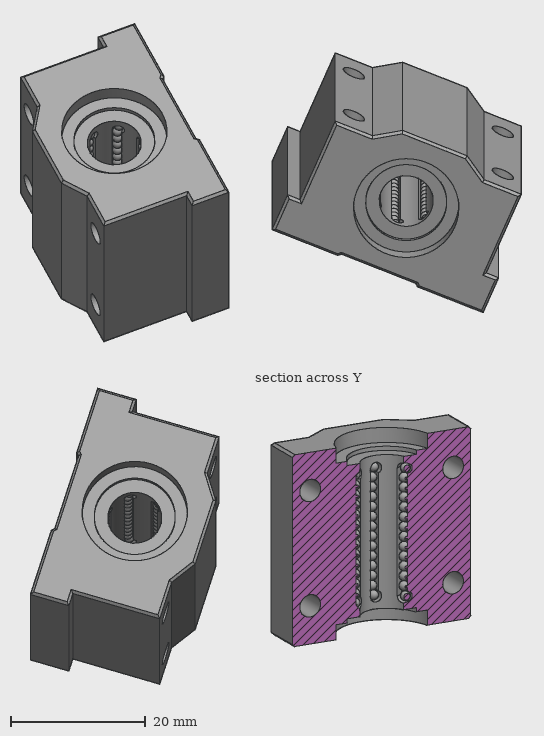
import cadquery as cq

FLANGE_WIDTH = 34.0
BODY_WIDTH = 30.0
DEPTH = 22.0
LENGTH = 30.0
FLANGE_THICKNESS = 6.0
RIDGE_HEIGHT = 2.5
RIDGE_BASE_WIDTH = 18.0
RIDGE_TOP_WIDTH = 10.4
RELIEF_DEPTH = 0.4
RELIEF_WIDTH = 12.0
RELIEF_MOUTH_WIDTH = RELIEF_WIDTH + 2 * RELIEF_DEPTH
END_CHAMFER = 0.4

SCREW_DIAMETER = 3.4
SCREW_PITCH_X = 24.0
SCREW_PITCH_Z = 18.0

SEAT_DIAMETER = 15.64
SEAT_DEPTH = 2.35
RING_RECESS_DIAMETER = 12.03
RING_RECESS_DEPTH = 0.65
SHAFT_DIAMETER = 8.0

TRACK_COUNT = 6
FIRST_TRACK_ANGLE = 30.0
TRACK_WIDTH = 1.4
TRACK_FLOOR_RADIUS = 5.2
END_POCKET_DIAMETER = 1.8
END_POCKET_SHIFT = 0.25
BALL_DIAMETER = 1.5
BALL_CENTRE_RADIUS = SHAFT_DIAMETER / 2 + BALL_DIAMETER / 2
BALL_COUNT = 14
BALL_ROW_LENGTH = 20.0

BACK_Y = DEPTH / 2
FRONT_Y = -DEPTH / 2


def make_block():
    """Flanged block with a front ridge and a shallow back relief, chamfered at both ends."""
    shoulder_y = BACK_Y - FLANGE_THICKNESS
    face_y = FRONT_Y + RIDGE_HEIGHT
    right_half = [
        (RIDGE_TOP_WIDTH / 2, FRONT_Y),
        (RIDGE_BASE_WIDTH / 2, face_y),
        (BODY_WIDTH / 2, face_y),
        (BODY_WIDTH / 2, shoulder_y),
        (FLANGE_WIDTH / 2, shoulder_y),
        (FLANGE_WIDTH / 2, BACK_Y),
        (RELIEF_MOUTH_WIDTH / 2, BACK_Y),
        (RELIEF_WIDTH / 2, BACK_Y - RELIEF_DEPTH),
    ]
    left_half = [(-x, y) for x, y in reversed(right_half)]
    outline = cq.Workplane("XY").workplane(offset=-LENGTH / 2).polyline(right_half + left_half).close()
    return outline.extrude(LENGTH).faces("<Z or >Z").chamfer(END_CHAMFER)


def z_cylinder(diameter, length):
    """Cylinder on the bore axis, centred on the origin."""
    return cq.Workplane("XY").circle(diameter / 2).extrude(length / 2, both=True)


def cut_bore(block):
    """Shaft bore with a stepped recess at each end."""
    seat_span = LENGTH - 2 * SEAT_DEPTH
    ring_span = seat_span - 2 * RING_RECESS_DEPTH
    seat = z_cylinder(SEAT_DIAMETER, LENGTH).cut(z_cylinder(SEAT_DIAMETER, seat_span))
    ring = z_cylinder(RING_RECESS_DIAMETER, LENGTH).cut(z_cylinder(RING_RECESS_DIAMETER, ring_span))
    return block.cut(z_cylinder(SHAFT_DIAMETER, LENGTH)).cut(seat).cut(ring)


def cut_screw_holes(block):
    """Four through holes along Y."""
    holes = (
        cq.Workplane("XZ")
        .rarray(SCREW_PITCH_X, SCREW_PITCH_Z, 2, 2)
        .circle(SCREW_DIAMETER / 2)
        .extrude(DEPTH / 2, both=True)
    )
    return block.cut(holes)


def make_track_space():
    """Empty space of one ball track along +X: a slot with a round pocket at each end, less its balls.

    The end pockets and end balls sit slightly clockwise of the slot, where the track starts to turn.
    """
    slot = cq.Workplane("XY").box(
        TRACK_FLOOR_RADIUS, TRACK_WIDTH, BALL_ROW_LENGTH, centered=(False, True, True)
    )
    pockets = (
        cq.Workplane("YZ", origin=(0, -END_POCKET_SHIFT, 0))
        .rarray(1, BALL_ROW_LENGTH, 1, 2)
        .circle(END_POCKET_DIAMETER / 2)
        .extrude(TRACK_FLOOR_RADIUS)
    )
    ball_pitch = BALL_ROW_LENGTH / (BALL_COUNT - 1)
    inner_balls = (
        cq.Workplane("YZ", origin=(BALL_CENTRE_RADIUS, 0, 0))
        .rarray(1, ball_pitch, 1, BALL_COUNT - 2)
        .sphere(BALL_DIAMETER / 2)
    )
    end_balls = (
        cq.Workplane("YZ", origin=(BALL_CENTRE_RADIUS, -END_POCKET_SHIFT, 0))
        .rarray(1, BALL_ROW_LENGTH, 1, 2)
        .sphere(BALL_DIAMETER / 2)
    )
    channel = slot.union(pockets).cut(z_cylinder(SHAFT_DIAMETER, LENGTH))
    return channel.cut(inner_balls).cut(end_balls)


def cut_ball_tracks(block):
    """Ball tracks around the bore; each ball stays attached to the floor of its track."""
    track_space = make_track_space()
    for index in range(TRACK_COUNT):
        angle = FIRST_TRACK_ANGLE + index * 360 / TRACK_COUNT
        block = block.cut(track_space.rotate((0, 0, 0), (0, 0, 1), angle))
    return block


block_with_bore = cut_bore(make_block())
result = cut_screw_holes(cut_ball_tracks(block_with_bore))